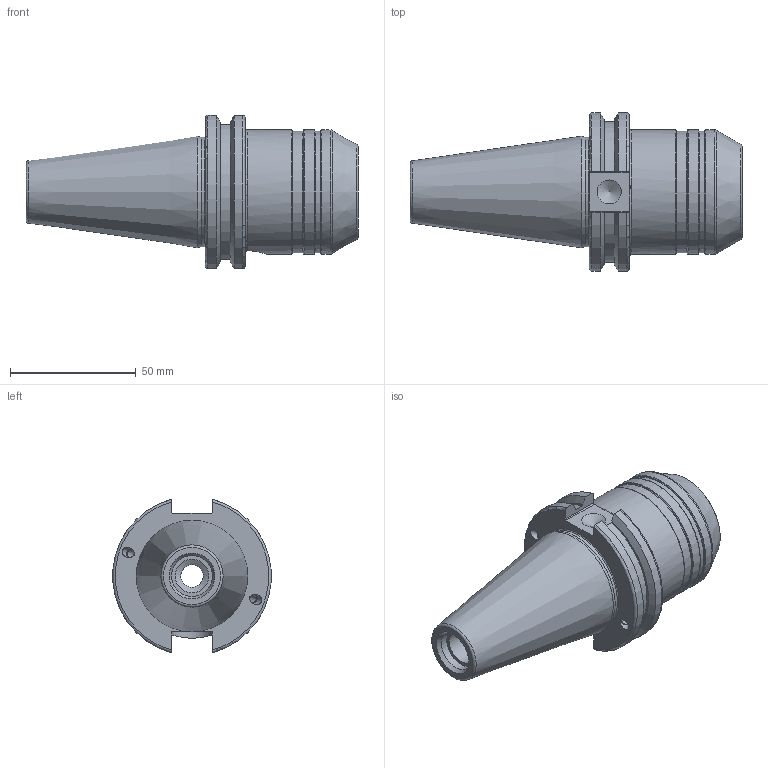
import cadquery as cq
import math

TAPER_RATIO = 7 / 24
GAUGE_DIAMETER = 44.45
TAPER_LENGTH = 68.25
GAUGE_TO_NOSE = 64.0
TOTAL_LENGTH = TAPER_LENGTH + GAUGE_TO_NOSE
END_ROUND = 1.0

NECK_DIAMETER = 43.6
NECK_RELIEF_LENGTH = 1.5
NECK_FILLET = 0.4

FLANGE_DIAMETER = 63.25
FLANGE_START = TAPER_LENGTH + 3.175
FLANGE_WIDTH = 15.875
FLANGE_END = FLANGE_START + FLANGE_WIDTH
FLANGE_MIDDLE = FLANGE_START + FLANGE_WIDTH / 2
FLANGE_ROUND = 1.0
V_BOTTOM_DIAMETER = 56.36
V_TOP_WIDTH = 7.1
V_BOTTOM_WIDTH = 4.0
V_FLANK_ANGLE = 30.0

BODY_DIAMETER = 49.5
BODY_FILLET = 0.9
NOSE_ANGLE = 30.0
NOSE_CONE_LENGTH = 10.55
NOSE_CORNER_ROUND = 1.5

GROOVE_DIAMETER = 48.5
GRIP_GROOVES = [(106.25, 4.0), (115.25, 2.0)]

SLOT_WIDTH = 16.3
SLOT_END_CENTER = FLANGE_END + 0.3
TOP_SLOT_FLOOR = 25.0
BOTTOM_SLOT_FLOOR = 22.3
TOP_SLOT_FILLET = 0.5
DIMPLE_DIAMETER = 9.53
DIMPLE_CONE_ANGLE = 118.0

PILOT_DIAMETER = 16.3
PILOT_DEPTH = 4.75
PILOT_CHAMFER = 1.0
PILOT_CHAMFER_ANGLE = 30.0
THREAD_BORE_DIAMETER = 13.39
THREAD_BORE_DEPTH = 30.0
THROUGH_DIAMETER = 8.92
DRILL_POINT_ANGLE = 118.0

COOLANT_MOUTH_DIAMETER = 4.0
COOLANT_MOUTH_DEPTH = 2.0
COOLANT_DIAMETER = 3.24
COOLANT_RADIUS = 27.1
COOLANT_TILT = 35.0
COOLANT_ANGLE = 20.2

SELECTION_MARGIN = 0.01


def revolve_x(profile):
    """Revolve an outline of (x, radius) points about the X axis."""
    return profile.close().revolve(360, (0, 0, 0), (1, 0, 0))


def round_circular_edge(solid, x, diameter, radius):
    """Fillet the full circular edge of the given diameter at position x."""
    reach = diameter / 2 + SELECTION_MARGIN
    low = (x - SELECTION_MARGIN, -reach, -reach)
    high = (x + SELECTION_MARGIN, reach, reach)
    inner = diameter / 2 - SELECTION_MARGIN
    edges = [
        edge
        for edge in solid.edges(cq.selectors.BoxSelector(low, high, boundingbox=True)).vals()
        if edge.geomType() == "CIRCLE" and edge.radius() > inner
    ]
    return solid.newObject(edges).fillet(radius)


def make_shank():
    gauge_radius = GAUGE_DIAMETER / 2
    small_radius = gauge_radius - TAPER_LENGTH * TAPER_RATIO / 2
    neck_radius = NECK_DIAMETER / 2
    profile = (
        cq.Workplane("XY")
        .moveTo(0, 0)
        .lineTo(0, small_radius)
        .lineTo(TAPER_LENGTH, gauge_radius)
        .lineTo(TAPER_LENGTH + NECK_RELIEF_LENGTH, neck_radius)
        .lineTo(FLANGE_START - NECK_FILLET, neck_radius)
        .radiusArc((FLANGE_START, neck_radius + NECK_FILLET), -NECK_FILLET)
        .lineTo(FLANGE_START, 0)
    )
    return round_circular_edge(revolve_x(profile), 0, 2 * small_radius, END_ROUND)


def make_flange():
    outer = FLANGE_DIAMETER / 2
    disc = cq.Workplane("YZ", origin=(FLANGE_START, 0, 0)).circle(outer).extrude(FLANGE_WIDTH)
    disc = disc.edges().fillet(FLANGE_ROUND)
    half_top = V_TOP_WIDTH / 2
    half_bottom = V_BOTTOM_WIDTH / 2
    flank_depth = (half_top - half_bottom) / math.tan(math.radians(V_FLANK_ANGLE))
    groove = (
        cq.Workplane("XY")
        .moveTo(FLANGE_MIDDLE - half_top, outer)
        .lineTo(FLANGE_MIDDLE - half_bottom, outer - flank_depth)
        .lineTo(FLANGE_MIDDLE - half_bottom, V_BOTTOM_DIAMETER / 2)
        .lineTo(FLANGE_MIDDLE + half_bottom, V_BOTTOM_DIAMETER / 2)
        .lineTo(FLANGE_MIDDLE + half_bottom, outer - flank_depth)
        .lineTo(FLANGE_MIDDLE + half_top, outer)
    )
    return disc.cut(revolve_x(groove))


def make_body():
    radius = BODY_DIAMETER / 2
    cone_start = TOTAL_LENGTH - NOSE_CONE_LENGTH
    end_radius = radius - NOSE_CONE_LENGTH * math.tan(math.radians(NOSE_ANGLE))
    profile = (
        cq.Workplane("XY")
        .moveTo(FLANGE_END, 0)
        .lineTo(FLANGE_END, radius + BODY_FILLET)
        .radiusArc((FLANGE_END + BODY_FILLET, radius), -BODY_FILLET)
        .lineTo(cone_start, radius)
        .lineTo(TOTAL_LENGTH, end_radius)
        .lineTo(TOTAL_LENGTH, 0)
    )
    body = revolve_x(profile)
    body = round_circular_edge(body, cone_start, BODY_DIAMETER, NOSE_CORNER_ROUND)
    body = round_circular_edge(body, TOTAL_LENGTH, 2 * end_radius, END_ROUND)
    for start, width in GRIP_GROOVES:
        body = body.cut(make_grip_groove(start, width))
    return body


def make_grip_groove(start, width):
    """Ring whose walls are a rounded land edge running into an equally rounded floor edge."""
    land_radius = BODY_DIAMETER / 2
    floor_radius = GROOVE_DIAMETER / 2
    depth = land_radius - floor_radius
    round_radius = depth / 2
    middle_radius = floor_radius + round_radius
    end = start + width
    profile = (
        cq.Workplane("XY")
        .moveTo(start - depth, land_radius)
        .radiusArc((start - round_radius, middle_radius), round_radius)
        .radiusArc((start, floor_radius), -round_radius)
        .lineTo(end, floor_radius)
        .radiusArc((end + round_radius, middle_radius), -round_radius)
        .radiusArc((end + depth, land_radius), round_radius)
    )
    return revolve_x(profile)


def make_slot(floor):
    """Cutter above the floor height: a straight run through the flange with a round far end."""
    half_width = SLOT_WIDTH / 2
    return (
        cq.Workplane("XY", origin=(0, 0, floor))
        .moveTo(FLANGE_START, -half_width)
        .lineTo(SLOT_END_CENTER, -half_width)
        .threePointArc((SLOT_END_CENTER + half_width, 0), (SLOT_END_CENTER, half_width))
        .lineTo(FLANGE_START, half_width)
        .close()
        .extrude(FLANGE_DIAMETER / 2)
    )


def make_dimple():
    radius = DIMPLE_DIAMETER / 2
    depth = radius / math.tan(math.radians(DIMPLE_CONE_ANGLE / 2))
    cone = cq.Solid.makeCone(
        0, radius, depth, cq.Vector(FLANGE_MIDDLE, 0, TOP_SLOT_FLOOR - depth), cq.Vector(0, 0, 1)
    )
    return cq.Workplane(cone)


def make_bore():
    pilot_radius = PILOT_DIAMETER / 2
    thread_radius = THREAD_BORE_DIAMETER / 2
    through_radius = THROUGH_DIAMETER / 2
    chamfer_length = PILOT_CHAMFER / math.tan(math.radians(PILOT_CHAMFER_ANGLE))
    point_length = (thread_radius - through_radius) / math.tan(math.radians(DRILL_POINT_ANGLE / 2))
    profile = (
        cq.Workplane("XY")
        .moveTo(0, 0)
        .lineTo(0, pilot_radius + PILOT_CHAMFER)
        .lineTo(chamfer_length, pilot_radius)
        .lineTo(PILOT_DEPTH, pilot_radius)
        .lineTo(PILOT_DEPTH, thread_radius)
        .lineTo(THREAD_BORE_DEPTH, thread_radius)
        .lineTo(THREAD_BORE_DEPTH + point_length, through_radius)
        .lineTo(TOTAL_LENGTH, through_radius)
        .lineTo(TOTAL_LENGTH, 0)
    )
    return revolve_x(profile)


def make_coolant_hole(turn):
    """Stepped hole sloping inward to the bore, turned about the tool axis."""
    tilt = math.radians(COOLANT_TILT)
    direction = cq.Vector(math.cos(tilt), -math.sin(tilt), 0)
    entry = cq.Vector(FLANGE_START, COOLANT_RADIUS, 0)
    overrun = COOLANT_MOUTH_DIAMETER
    outside = entry - direction * overrun
    length_to_axis = COOLANT_RADIUS / math.sin(tilt)
    mouth = cq.Solid.makeCylinder(
        COOLANT_MOUTH_DIAMETER / 2, overrun + COOLANT_MOUTH_DEPTH, outside, direction
    )
    passage = cq.Solid.makeCylinder(COOLANT_DIAMETER / 2, length_to_axis, entry, direction)
    hole = cq.Workplane(mouth).union(cq.Workplane(passage))
    return hole.rotate((0, 0, 0), (1, 0, 0), turn)


def make_holder():
    holder = make_shank().union(make_flange()).union(make_body())
    top_slot = make_slot(TOP_SLOT_FLOOR).faces("<Z").edges("|X").fillet(TOP_SLOT_FILLET)
    holder = holder.cut(top_slot)
    holder = holder.cut(make_slot(BOTTOM_SLOT_FLOOR).rotate((0, 0, 0), (1, 0, 0), 180))
    holder = holder.cut(make_dimple())
    holder = holder.cut(make_bore())
    for half_turn in (0, 180):
        holder = holder.cut(make_coolant_hole(COOLANT_ANGLE + half_turn))
    return holder


result = make_holder()